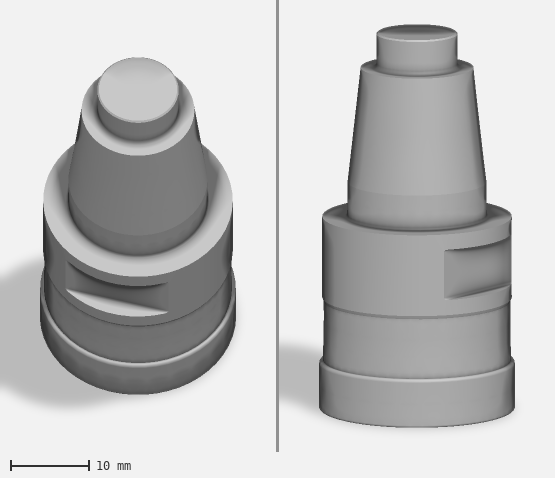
import cadquery as cq

cap_top_z = 6.3
barrel_taper_bottom_z = 7.0
barrel_taper_top_z = 13.48
neck_top_z = 14.05
collar_bottom_z = 14.5
collar_top_z = 25.05
stem_flare_top_z = 25.35
stem_waist_z = 29.55
shoulder_z = 44.45
total_height = 49.0

cap_bottom_radius = 12.55
cap_top_radius = 12.5
cap_top_fillet = 0.45
cap_bottom_fillet = 0.3

barrel_radius = 24.0 / 2
neck_radius = 23.8 / 2
collar_radius = 24.2 / 2
stem_flare_radius = 9.2
stem_bottom_radius = 8.9
stem_waist_radius = 8.85
shoulder_radius = 7.2
tip_radius = 10.4 / 2
tip_fillet = 0.55
tip_chamfer = 0.2

flat_distance = 10.0
flat_bottom_z = 16.45
flat_top_z = 23.05
flat_corner_fillet = 0.3


def make_cap():
    """Solid base cap with rounded rims."""
    profile = (
        cq.Workplane("XZ")
        .polyline([(0, 0), (cap_bottom_radius, 0), (cap_top_radius, cap_top_z), (0, cap_top_z)])
        .close()
    )
    cap = profile.revolve(360, (0, 0, 0), (0, 1, 0))
    cap = cap.faces(">Z").edges().fillet(cap_top_fillet)
    return cap.faces("<Z").edges().fillet(cap_bottom_fillet)


def make_turned_housing():
    """Barrel, collar, tapered stem and tip, revolved about Z."""
    profile = (
        cq.Workplane("XZ")
        .moveTo(0, cap_top_z)
        .lineTo(barrel_radius, cap_top_z)
        .lineTo(barrel_radius, barrel_taper_bottom_z)
        .lineTo(neck_radius, barrel_taper_top_z)
        .lineTo(neck_radius, neck_top_z)
        .lineTo(collar_radius, collar_bottom_z)
        .lineTo(collar_radius, collar_top_z)
        .lineTo(stem_flare_radius, collar_top_z)
        .radiusArc((stem_bottom_radius, stem_flare_top_z), stem_flare_top_z - collar_top_z)
        .lineTo(stem_waist_radius, stem_waist_z)
        .lineTo(shoulder_radius, shoulder_z)
        .lineTo(tip_radius + tip_fillet, shoulder_z)
        .radiusArc((tip_radius, shoulder_z + tip_fillet), tip_fillet)
        .lineTo(tip_radius, total_height - tip_chamfer)
        .lineTo(tip_radius - tip_chamfer, total_height)
        .lineTo(0, total_height)
        .close()
    )
    return profile.revolve(360, (0, 0, 0), (0, 1, 0))


def make_flat_cutter(side):
    """Block that cuts one wrench flat; side is -1 or +1 along Y."""
    width = 2 * collar_radius
    depth = collar_radius
    block = cq.Workplane("XY").box(width, depth, flat_top_z - flat_bottom_z)
    inner_face = ">Y" if side < 0 else "<Y"
    block = block.faces(inner_face).edges("|X").fillet(flat_corner_fillet)
    center_y = side * (flat_distance + depth / 2)
    return block.translate((0, center_y, (flat_top_z + flat_bottom_z) / 2))


def make_housing():
    housing = make_turned_housing()
    for side in (-1, 1):
        housing = housing.cut(make_flat_cutter(side))
    return housing


cap = make_cap()
housing = make_housing()

result = cq.Compound.makeCompound([cap.val(), housing.val()])